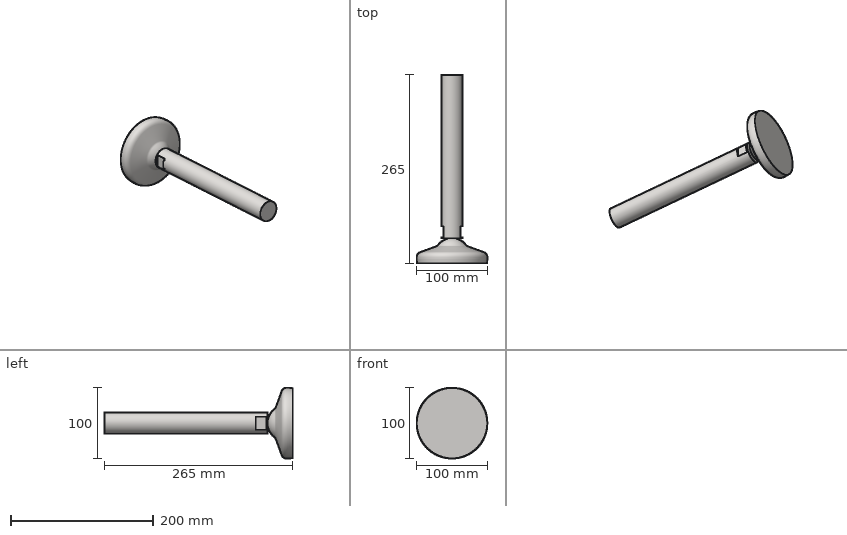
import cadquery as cq
import math

total_length = 265.0

foot_radius = 50.0
skirt_height = 5.8
skirt_draft = math.radians(6.0)
cone_slope = math.radians(20.0)
cone_edge_height = 14.0
rim_fillet = 8.0

dome_radius = 25.0
dome_center_height = 10.7
dome_fillet = 5.0

rod_radius = 15.0
rod_start = 35.2
across_flats = 24.0
flat_start = 37.0
flat_length = 15.0


def make_foot():
    """Skirt, wall, rounded rim, cone and dome, revolved about the Y axis."""
    underside_radius = foot_radius - skirt_height * math.tan(skirt_draft)
    slope_sin = math.sin(cone_slope)
    slope_cos = math.cos(cone_slope)
    cone_apex_height = cone_edge_height + foot_radius * math.tan(cone_slope)

    rim_tangent_length = rim_fillet * math.tan((math.pi / 2 - cone_slope) / 2)
    rim_low = (foot_radius, cone_edge_height - rim_tangent_length)
    rim_high = (
        foot_radius - rim_tangent_length * slope_cos,
        cone_edge_height + rim_tangent_length * slope_sin,
    )

    center_to_cone = (cone_apex_height - dome_center_height) * slope_cos
    across_cone = center_to_cone + dome_fillet
    along_cone = math.sqrt((dome_radius + dome_fillet) ** 2 - across_cone**2)
    hollow_center = (
        across_cone * slope_sin + along_cone * slope_cos,
        dome_center_height + across_cone * slope_cos - along_cone * slope_sin,
    )
    hollow_low = (
        hollow_center[0] - dome_fillet * slope_sin,
        hollow_center[1] - dome_fillet * slope_cos,
    )
    dome_share = dome_radius / (dome_radius + dome_fillet)
    hollow_high = (
        hollow_center[0] * dome_share,
        dome_center_height + (hollow_center[1] - dome_center_height) * dome_share,
    )

    return (
        cq.Workplane("XY")
        .lineTo(underside_radius, 0)
        .lineTo(foot_radius, skirt_height)
        .lineTo(*rim_low)
        .radiusArc(rim_high, -rim_fillet)
        .lineTo(*hollow_low)
        .radiusArc(hollow_high, dome_fillet)
        .radiusArc((0, dome_center_height + dome_radius), -dome_radius)
        .close()
        .revolve(360, (0, 0, 0), (0, 1, 0))
    )


def make_rod():
    """Cylinder with a pair of wrench flats on its -X and +X sides."""
    rod_length = total_length - rod_start
    rod = (
        cq.Workplane("XZ", origin=(0, rod_start, 0))
        .circle(rod_radius)
        .extrude(-rod_length)
    )
    flat_middle = flat_start + flat_length / 2
    for side in (-1, 1):
        cutter = cq.Workplane("XY").box(rod_radius, flat_length, 2 * rod_radius)
        offset = side * (across_flats + rod_radius) / 2
        rod = rod.cut(cutter.translate((offset, flat_middle, 0)))
    return rod


result = make_foot().union(make_rod())